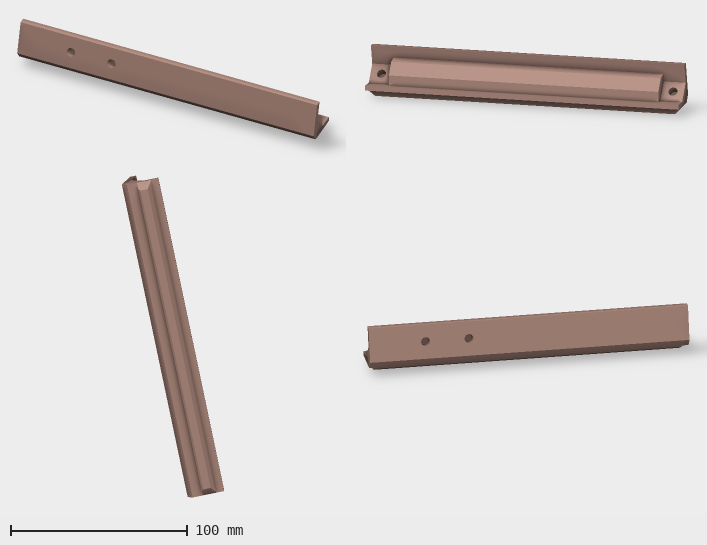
import cadquery as cq
import math

length = 183.8
width = 21.1
height = 28.0

foot_bottom = 4.5
foot_thickness = 2.8
foot_top = foot_bottom + foot_thickness
toe_y = 3.0
heel_z = 8.8
wall_top_outer_y = 4.8
wall_top_thickness = 3.5
web_low_y = 12.9
web_high_y = 5.1
web_high_z = 16.5
wall_lean = math.atan2(wall_top_outer_y, height - heel_z)

block_inset = 12.9
block_back_y = 17.0
block_back_z = 13.0
block_crest_y = 11.5
block_crest_z = 19.9

keel_back_y = 17.1
keel_bottom_back_y = 14.2
keel_front_y = 8.8
keel_chamfer = 1.1
keel_end_chamfer = 4.0

hole_diameter = 5.1
wall_hole_xs = (32.4, 57.4)
wall_hole_z = 18.4
wall_hole_depth = 7.4
end_hole_inset = 6.5
end_hole_depth = 5.5


def extrude_section(points, start_x, end_x):
    """Extrude a closed (Y, Z) outline along X."""
    section = cq.Workplane("YZ", origin=(start_x, 0, 0)).polyline(points).close()
    return section.extrude(end_x - start_x)


def blind_hole(center, inward, depth):
    """Cylinder running into the part from a point on its surface."""
    return cq.Workplane(cq.Solid.makeCylinder(
        hole_diameter / 2, depth, cq.Vector(*center), cq.Vector(*inward)))


def make_rail():
    return extrude_section([
        (toe_y, foot_bottom),
        (width, foot_bottom),
        (width, foot_top),
        (web_low_y, foot_top),
        (web_high_y, web_high_z),
        (wall_top_outer_y + wall_top_thickness, height),
        (wall_top_outer_y, height),
        (0, heel_z),
    ], 0, length)


def make_block():
    root_y = web_high_y
    root_z = block_crest_z + (block_crest_y - root_y) * math.tan(wall_lean)
    return extrude_section([
        (web_low_y, foot_top),
        (block_back_y, foot_top),
        (block_back_y, block_back_z),
        (block_crest_y, block_crest_z),
        (root_y, root_z),
        (web_high_y, web_high_z),
    ], block_inset, length - block_inset)


def make_keel():
    keel = extrude_section([
        (keel_front_y, foot_bottom),
        (keel_back_y, foot_bottom),
        (keel_bottom_back_y, 0),
        (keel_front_y + keel_chamfer, 0),
        (keel_front_y, keel_chamfer),
    ], 0, length)
    side_outline = (
        cq.Workplane("XZ")
        .polyline([
            (0, foot_bottom),
            (keel_end_chamfer, 0),
            (length - keel_end_chamfer, 0),
            (length, foot_bottom),
        ])
        .close()
        .extrude(-width)
    )
    return keel.intersect(side_outline)


result = make_rail().union(make_block()).union(make_keel())

wall_hole_y = (wall_hole_z - heel_z) * math.tan(wall_lean)
wall_inward = (0, math.cos(wall_lean), -math.sin(wall_lean))
for hole_x in wall_hole_xs:
    result = result.cut(blind_hole((hole_x, wall_hole_y, wall_hole_z), wall_inward, wall_hole_depth))

web_middle_y = (web_low_y + web_high_y) / 2
web_middle_z = (foot_top + web_high_z) / 2
web_inward = (0, foot_top - web_high_z, web_high_y - web_low_y)
for hole_x in (end_hole_inset, length - end_hole_inset):
    result = result.cut(blind_hole((hole_x, web_middle_y, web_middle_z), web_inward, end_hole_depth))